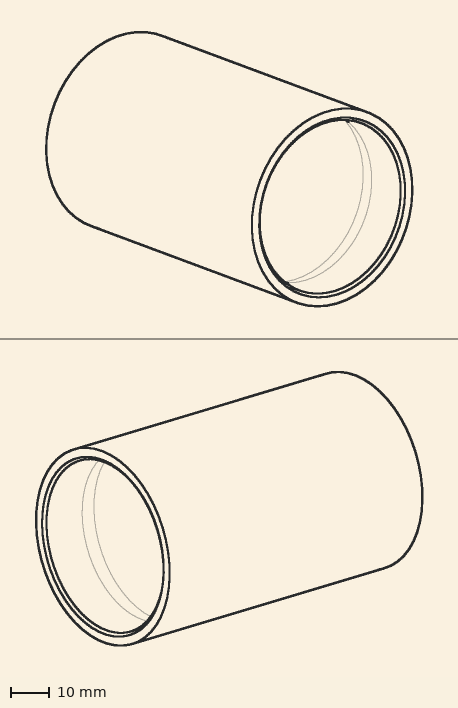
import cadquery as cq

length = 86.5
outer_diameter = 52.4

land_diameter = 46.0
relief_diameter = 48.2
mouth_chamfer_depth = 0.8
mouth_chamfer_length = 0.8
land_length = 12.2
taper_length = 5.0

outer_radius = outer_diameter / 2
land_radius = land_diameter / 2
relief_radius = relief_diameter / 2
mouth_radius = land_radius + mouth_chamfer_depth

end_x = length / 2
land_outer_x = end_x - mouth_chamfer_length
land_inner_x = land_outer_x - land_length
relief_x = land_inner_x - taper_length


def make_sleeve():
    """Revolve the wall section about the X axis."""
    return (
        cq.Workplane("XZ")
        .moveTo(-end_x, outer_radius)
        .lineTo(end_x, outer_radius)
        .lineTo(end_x, mouth_radius)
        .lineTo(land_outer_x, land_radius)
        .lineTo(land_inner_x, land_radius)
        .lineTo(relief_x, relief_radius)
        .lineTo(-relief_x, relief_radius)
        .lineTo(-land_inner_x, land_radius)
        .lineTo(-land_outer_x, land_radius)
        .lineTo(-end_x, mouth_radius)
        .close()
        .revolve(360, (0, 0, 0), (1, 0, 0))
    )


result = make_sleeve()